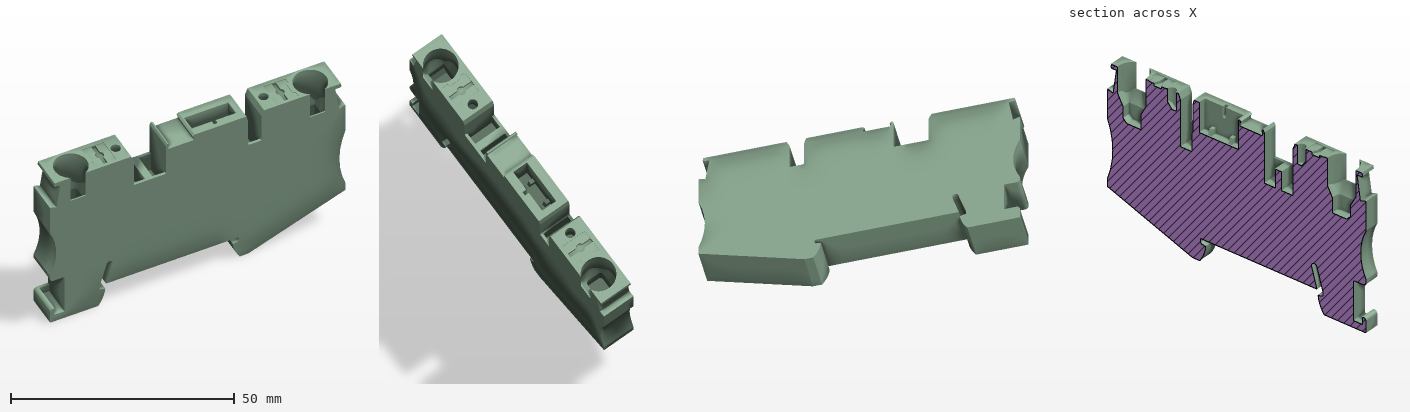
import cadquery as cq
import math

WIDTH = 8.15
LENGTH = 74.12
HEIGHT = 42.2

FRONT, BACK = -1, 1


def at(end, distance):
    """Y position a given distance inward from the front or back end."""
    return end * (LENGTH / 2 - distance)


def down(depth):
    """Z position a given depth below the top."""
    return HEIGHT - depth


def across(distance):
    """X position a given distance in from the -X side."""
    return distance - WIDTH / 2


LIP_TOP_INSET = 1.13
LIP_INSET = 1.0
LIP_THICKNESS = 0.85
LIP_CORNER = 0.3
GROOVE_TOP_INSET = 2.55
GROOVE_BOTTOM_INSET = 1.6
GROOVE_BOTTOM = 7.55
SHOULDER_DEPTH = 7.1
SHOULDER_FLAT = 0.5

HOLLOW_TOP = 14.95
HOLLOW_SAG = 1.5
FRONT_HOLLOW_BOTTOM = 27.9
BACK_HOLLOW_BOTTOM = 30.9

SLOT_DEPTH = 8.95
SLOT_CHAMFER_DROP = 1.6
TOWER_END = 21.05
TOWER_CHAMFER = 0.65
BRIDGE_CHAMFER = 0.43
BRIDGE_FOOT_CHAMFER = 0.25
BRIDGE_BACK = 24.4
BRIDGE_FRONT = 29.1

SEAT_DEPTH = 1.57
SEAT_BACK = 36.1
RIB_THICKNESS = 0.6
BARB = 0.3
BARB_DEPTH = 0.4
RIB_CHAMFER = 0.35
RIB_CHAMFER_DROP = 0.65
BARB_TOP_SETBACK = 0.2

BACK_WALL_BOTTOM = 33.1
FOOT_BACK = 24.4
FIXED_HOOK_BOTTOM = 26.5
FIXED_HOOK_TIP = 28.25
FIXED_HOOK_ROOT = 26.8
RAIL_SEAT_DEPTH = 36.2
HOOK_TOP_DEPTH = 37.65
HOOK_ROOT_DEPTH = 37.3
HOOK_CORNER_DEPTH = 37.15
HOOK_CORNER = 0.3
HOOK_BULGE = 0.35
SPRUNG_HOOK_BOTTOM = 12.1
SPRUNG_HOOK_TIP = 13.85
SPRUNG_HOOK_ROOT = 12.45
SPRING_SLOT_OUTER = 14.03
SPRING_SLOT_TOP_OUTER = 15.65
SPRING_SLOT_TOP_INNER = 14.15
SPRING_SLOT_SHOULDER = 30.4
SPRING_SLOT_TOP = 29.7
SPRING_SLOT_KNEE = 36.2
NOTCH_TOP = 29.7
NOTCH_BOTTOM = 38.25
NOTCH_REACH = 3.58
NOTCH_ROUND = 0.85

TOE_WALL = 0.7
TOE_LIP = 1.1
TOE_RECESS_DEPTH = 2.0

SLOT_POCKET_MARGIN = 0.68
SLOT_POCKET_LENGTH = 3.08
SLOT_POCKET_DEPTH = 5.0

WELL_X = across(4.6)
WELL_INSET = 7.0
WELL_RADIUS = 4.0
WELL_DEPTH = 7.0
SHAFT_LEFT = across(2.0)
SHAFT_RIGHT = across(6.25)
SHAFT_OUTER = 4.6
SHAFT_INNER = 9.6
SHAFT_CORNER = 0.75
FUNNEL_OFFSET = 1.6
FUNNEL_DEPTH = 3.0
SHAFT_DEPTH = 4.0
RAMP_RUN = 1.0
RAMP_RISE = 1.0

PANEL_X = across(4.25)
PANEL_WIDTH = 6.26
PANEL_OUTER = 11.43
PANEL_INNER = 17.0
PANEL_DEPTH = 0.15
TAB_DEPTH = 0.65
TAB_WIDTH = 3.4
TAB_TIP_WIDTH = 2.8
DRIVER_INSET = 14.4
DRIVER_WIDTH = 1.0
DRIVER_RADIUS = 1.0
DRIVER_DEPTH = 0.8

TEST_INSET = 18.5
TEST_RADIUS = 1.17
TEST_DEPTH = 5.0
TEST_SLOPE_RISE = 1.5

POCKET_LEFT = across(2.24)
POCKET_RIGHT = across(6.06)
POCKET_BACK = 26.4
POCKET_FRONT = 37.5
POCKET_DEPTH = 8.0
CONTACT_STARTS = (28.65, 34.45)
CONTACT_THICKNESS = 0.9
CONTACT_FLAT = 1.1
CONTACT_GAP_LEFT = across(3.76)
CONTACT_GAP_RIGHT = across(4.4)
CONTACT_HEIGHT = 1.5
KEY_CENTRE = 32.0
KEY_WIDTH = 0.95
KEY_RIGHT = across(7.1)
KEY_DEPTH = 3.0


def box(x_range, y_range, z_range):
    """Axis-aligned box between pairs of coordinates given in any order."""
    (x0, x1), (y0, y1), (z0, z1) = sorted(x_range), sorted(y_range), sorted(z_range)
    return cq.Workplane("XY").box(x1 - x0, y1 - y0, z1 - z0, centered=False).translate((x0, y0, z0))


def side_prism(outline, x_range=(-WIDTH / 2, WIDTH / 2)):
    """Extrude a closed (Y, Z) outline along X."""
    return outline.close().extrude(x_range[1] - x_range[0]).translate((x_range[0], 0, 0))


def body():
    hollow_top = down(HOLLOW_TOP)
    back_hollow_bottom = down(BACK_HOLLOW_BOTTOM)
    front_hollow_bottom = down(FRONT_HOLLOW_BOTTOM)
    hook_middle = (HOOK_TOP_DEPTH + HEIGHT) / 2
    fixed_hook_middle = (FIXED_HOOK_BOTTOM + FIXED_HOOK_TIP) / 2 + HOOK_BULGE
    sprung_hook_middle = (SPRUNG_HOOK_BOTTOM + SPRUNG_HOOK_TIP) / 2 + HOOK_BULGE
    seat_front = BRIDGE_FRONT + RIB_THICKNESS
    slot_top_middle = (SPRING_SLOT_TOP_OUTER + SPRING_SLOT_TOP_INNER) / 2
    round_middle = NOTCH_ROUND * (1 - math.cos(math.pi / 4))

    outline = (
        cq.Workplane("YZ")
        .moveTo(at(BACK, LIP_TOP_INSET), HEIGHT)
        .lineTo(at(BACK, LIP_INSET), down(LIP_THICKNESS))
        .lineTo(at(BACK, LIP_INSET + LIP_CORNER), down(LIP_THICKNESS + LIP_CORNER))
        .lineTo(at(BACK, GROOVE_TOP_INSET), down(LIP_THICKNESS + LIP_CORNER))
        .lineTo(at(BACK, GROOVE_BOTTOM_INSET), down(GROOVE_BOTTOM))
        .lineTo(at(BACK, SHOULDER_FLAT), down(SHOULDER_DEPTH))
        .lineTo(at(BACK, 0), down(SHOULDER_DEPTH))
        .lineTo(at(BACK, 0), hollow_top)
        .threePointArc(
            (at(BACK, HOLLOW_SAG), (hollow_top + back_hollow_bottom) / 2),
            (at(BACK, 0), back_hollow_bottom),
        )
        .lineTo(at(BACK, 0), down(BACK_WALL_BOTTOM))
        .lineTo(at(BACK, FOOT_BACK), 0)
        .lineTo(at(BACK, FIXED_HOOK_BOTTOM), 0)
        .threePointArc(
            (at(BACK, fixed_hook_middle), down(hook_middle)),
            (at(BACK, FIXED_HOOK_TIP), down(HOOK_TOP_DEPTH)),
        )
        .lineTo(at(BACK, FIXED_HOOK_ROOT + HOOK_CORNER), down(HOOK_CORNER_DEPTH + HOOK_CORNER))
        .lineTo(at(BACK, FIXED_HOOK_ROOT), down(HOOK_CORNER_DEPTH))
        .lineTo(at(BACK, FIXED_HOOK_ROOT), down(RAIL_SEAT_DEPTH))
        .lineTo(at(FRONT, SPRING_SLOT_OUTER), down(RAIL_SEAT_DEPTH))
        .lineTo(at(FRONT, SPRING_SLOT_TOP_OUTER), down(SPRING_SLOT_SHOULDER))
        .threePointArc(
            (at(FRONT, slot_top_middle), down(SPRING_SLOT_TOP)),
            (at(FRONT, SPRING_SLOT_TOP_INNER), down(SPRING_SLOT_SHOULDER)),
        )
        .lineTo(at(FRONT, SPRUNG_HOOK_ROOT), down(SPRING_SLOT_KNEE))
        .lineTo(at(FRONT, SPRUNG_HOOK_ROOT), down(HOOK_ROOT_DEPTH))
        .lineTo(at(FRONT, SPRUNG_HOOK_TIP), down(HOOK_TOP_DEPTH))
        .threePointArc(
            (at(FRONT, sprung_hook_middle), down(hook_middle)),
            (at(FRONT, SPRUNG_HOOK_BOTTOM), 0),
        )
        .lineTo(at(FRONT, 0), 0)
        .lineTo(at(FRONT, 0), down(NOTCH_BOTTOM + NOTCH_ROUND))
        .threePointArc(
            (at(FRONT, round_middle), down(NOTCH_BOTTOM + round_middle)),
            (at(FRONT, NOTCH_ROUND), down(NOTCH_BOTTOM)),
        )
        .lineTo(at(FRONT, NOTCH_REACH), down(NOTCH_BOTTOM))
        .lineTo(at(FRONT, NOTCH_REACH), down(NOTCH_TOP))
        .lineTo(at(FRONT, NOTCH_ROUND), down(NOTCH_TOP))
        .threePointArc(
            (at(FRONT, round_middle), down(NOTCH_TOP - round_middle)),
            (at(FRONT, 0), down(NOTCH_TOP - NOTCH_ROUND)),
        )
        .lineTo(at(FRONT, 0), front_hollow_bottom)
        .threePointArc(
            (at(FRONT, HOLLOW_SAG), (hollow_top + front_hollow_bottom) / 2),
            (at(FRONT, 0), hollow_top),
        )
        .lineTo(at(FRONT, 0), down(SHOULDER_DEPTH))
        .lineTo(at(FRONT, SHOULDER_FLAT), down(SHOULDER_DEPTH))
        .lineTo(at(FRONT, GROOVE_BOTTOM_INSET), down(GROOVE_BOTTOM))
        .lineTo(at(FRONT, GROOVE_TOP_INSET), down(LIP_THICKNESS + LIP_CORNER))
        .lineTo(at(FRONT, LIP_INSET + LIP_CORNER), down(LIP_THICKNESS + LIP_CORNER))
        .lineTo(at(FRONT, LIP_INSET), down(LIP_THICKNESS))
        .lineTo(at(FRONT, LIP_TOP_INSET), HEIGHT)
        .lineTo(at(FRONT, TOWER_END - TOWER_CHAMFER), HEIGHT)
        .lineTo(at(FRONT, TOWER_END), down(SLOT_CHAMFER_DROP))
        .lineTo(at(FRONT, TOWER_END), down(SLOT_DEPTH))
        .lineTo(at(FRONT, BRIDGE_FRONT), down(SLOT_DEPTH))
        .lineTo(at(FRONT, BRIDGE_FRONT), down(RIB_CHAMFER_DROP))
        .lineTo(at(FRONT, BRIDGE_FRONT + RIB_CHAMFER), HEIGHT)
        .lineTo(at(FRONT, seat_front), HEIGHT)
        .lineTo(at(FRONT, seat_front + BARB), down(BARB_DEPTH))
        .lineTo(at(FRONT, seat_front), down(2 * BARB_DEPTH))
        .lineTo(at(FRONT, seat_front), down(SEAT_DEPTH))
        .lineTo(at(FRONT, SEAT_BACK), down(SEAT_DEPTH))
        .lineTo(at(FRONT, SEAT_BACK), down(2 * BARB_DEPTH))
        .lineTo(at(FRONT, SEAT_BACK - BARB), down(BARB_DEPTH))
        .lineTo(at(FRONT, SEAT_BACK + BARB_TOP_SETBACK), HEIGHT)
        .lineTo(at(BACK, BRIDGE_BACK + BRIDGE_CHAMFER), HEIGHT)
        .lineTo(at(BACK, BRIDGE_BACK), down(SLOT_CHAMFER_DROP))
        .lineTo(at(BACK, BRIDGE_BACK), down(SLOT_DEPTH - BRIDGE_FOOT_CHAMFER))
        .lineTo(at(BACK, BRIDGE_BACK - BRIDGE_FOOT_CHAMFER), down(SLOT_DEPTH))
        .lineTo(at(BACK, TOWER_END), down(SLOT_DEPTH))
        .lineTo(at(BACK, TOWER_END), down(SLOT_CHAMFER_DROP))
        .lineTo(at(BACK, TOWER_END - TOWER_CHAMFER), HEIGHT)
    )
    return side_prism(outline)


def toe_recess():
    """Recess between the toe's front lip and the notch wall, leaving a thin -X wall."""
    return box(
        (across(TOE_WALL), across(WIDTH)),
        (at(FRONT, TOE_LIP), at(FRONT, NOTCH_REACH)),
        (down(NOTCH_BOTTOM), down(NOTCH_BOTTOM + TOE_RECESS_DEPTH)),
    )


def slot_pocket(end, wall, away):
    """Pocket in a slot floor, running along Y from a slot wall."""
    half_width = WIDTH / 2 - SLOT_POCKET_MARGIN
    return box(
        (-half_width, half_width),
        (at(end, wall), at(end, wall + away * SLOT_POCKET_LENGTH)),
        (down(SLOT_DEPTH), down(SLOT_DEPTH + SLOT_POCKET_DEPTH)),
    )


def wire_entry(end):
    """Round well, tapered funnel and rectangular shaft with a sloped floor edge."""
    funnel_floor = WELL_DEPTH + FUNNEL_DEPTH
    shaft_floor = funnel_floor + SHAFT_DEPTH
    well_y = at(end, WELL_INSET)
    inner_corners = ">Y" if end == FRONT else "<Y"

    well = cq.Workplane("XY").workplane(offset=down(WELL_DEPTH)).center(WELL_X, well_y)
    well = well.circle(WELL_RADIUS).extrude(WELL_DEPTH)
    bore = cq.Workplane("XY").workplane(offset=down(funnel_floor)).center(WELL_X, well_y)
    bore = bore.circle(WELL_RADIUS).extrude(FUNNEL_DEPTH)

    shaft = box(
        (SHAFT_LEFT, SHAFT_RIGHT),
        (at(end, SHAFT_OUTER), at(end, SHAFT_INNER)),
        (down(funnel_floor), down(shaft_floor)),
    )
    shaft = shaft.faces(inner_corners).edges("|Z").fillet(SHAFT_CORNER)

    taper = -math.degrees(math.atan2(FUNNEL_OFFSET, FUNNEL_DEPTH))
    funnel = shaft.faces(">Z").wires().toPending().extrude(FUNNEL_DEPTH, taper=taper, combine=False)

    outer_y = at(end, SHAFT_OUTER)
    ramp = side_prism(
        cq.Workplane("YZ")
        .moveTo(outer_y, down(shaft_floor))
        .lineTo(at(end, SHAFT_OUTER + RAMP_RUN), down(shaft_floor))
        .lineTo(outer_y, down(shaft_floor - RAMP_RISE))
    )
    return well.union(funnel.intersect(bore)).union(shaft.cut(ramp))


def lever_panel(end):
    """Shallow panel with a tab at its outer edge, and the screwdriver slot across it."""
    half = PANEL_WIDTH / 2
    outer = at(end, PANEL_OUTER)
    inner = at(end, PANEL_INNER)
    tab = at(end, PANEL_OUTER + TAB_DEPTH)
    panel = (
        cq.Workplane("XY")
        .workplane(offset=down(PANEL_DEPTH))
        .polyline([
            (PANEL_X - half, inner),
            (PANEL_X - half, outer),
            (PANEL_X - TAB_WIDTH / 2, outer),
            (PANEL_X - TAB_TIP_WIDTH / 2, tab),
            (PANEL_X + TAB_TIP_WIDTH / 2, tab),
            (PANEL_X + TAB_WIDTH / 2, outer),
            (PANEL_X + half, outer),
            (PANEL_X + half, inner),
        ])
        .close()
        .extrude(PANEL_DEPTH)
    )
    driver = cq.Workplane("XY").workplane(offset=down(DRIVER_DEPTH)).center(PANEL_X, at(end, DRIVER_INSET))
    blade_slot = driver.rect(PANEL_WIDTH, DRIVER_WIDTH).extrude(DRIVER_DEPTH)
    centre_hole = driver.circle(DRIVER_RADIUS).extrude(DRIVER_DEPTH)
    return panel.union(blade_slot).union(centre_hole)


def test_hole(end):
    """Blind hole with the outer half of its floor sloped."""
    y = at(end, TEST_INSET)
    hole = cq.Workplane("XY").workplane(offset=down(TEST_DEPTH)).center(0, y)
    hole = hole.circle(TEST_RADIUS).extrude(TEST_DEPTH)
    outer_y = at(end, TEST_INSET - TEST_RADIUS)
    slope = side_prism(
        cq.Workplane("YZ")
        .moveTo(y, down(TEST_DEPTH))
        .lineTo(outer_y, down(TEST_DEPTH))
        .lineTo(outer_y, down(TEST_DEPTH - TEST_SLOPE_RISE))
    )
    return hole.cut(slope)


def contact_pair(start):
    """Two blocks on the pocket floor whose facing sides slope towards a central gap."""
    floor = down(POCKET_DEPTH)
    top = floor + CONTACT_HEIGHT
    pair = cq.Workplane("XZ", origin=(0, at(BACK, start), 0))
    for wall, gap, inward in ((POCKET_LEFT, CONTACT_GAP_LEFT, 1), (POCKET_RIGHT, CONTACT_GAP_RIGHT, -1)):
        pair = pair.polyline([
            (wall, floor),
            (wall, top),
            (wall + inward * CONTACT_FLAT, top),
            (gap, floor),
        ]).close()
    return pair.extrude(CONTACT_THICKNESS)


def bridge_pocket():
    pocket = box(
        (POCKET_LEFT, POCKET_RIGHT),
        (at(BACK, POCKET_BACK), at(BACK, POCKET_FRONT)),
        (HEIGHT, down(POCKET_DEPTH)),
    )
    for start in CONTACT_STARTS:
        pocket = pocket.cut(contact_pair(start))

    key_y = at(BACK, KEY_CENTRE)
    radius = KEY_WIDTH / 2
    key = side_prism(
        cq.Workplane("YZ")
        .moveTo(key_y - radius, HEIGHT)
        .lineTo(key_y - radius, down(KEY_DEPTH - radius))
        .threePointArc((key_y, down(KEY_DEPTH)), (key_y + radius, down(KEY_DEPTH - radius)))
        .lineTo(key_y + radius, HEIGHT),
        (POCKET_RIGHT, KEY_RIGHT),
    )
    return pocket.union(key)


result = body()
result = result.cut(toe_recess())
result = result.cut(slot_pocket(FRONT, TOWER_END, 1))
result = result.cut(slot_pocket(FRONT, BRIDGE_FRONT, -1))
result = result.cut(slot_pocket(BACK, TOWER_END, 1))
result = result.cut(bridge_pocket())
for side in (FRONT, BACK):
    result = result.cut(wire_entry(side))
    result = result.cut(lever_panel(side))
    result = result.cut(test_hole(side))